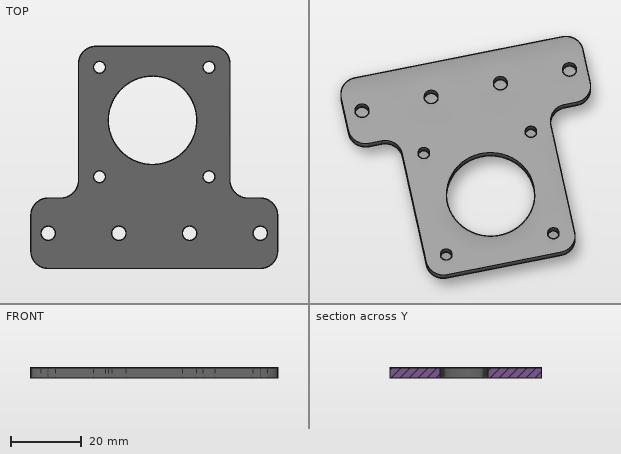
import cadquery as cq

foot_width = 70.0
foot_depth = 20.0
panel_width = 43.0
plate_depth = 63.0
thickness = 3.0
corner_radius = 5.0

bolt_spacing = 31.0
bolt_diameter = 3.3
bolt_center_y = plate_depth - panel_width / 2

opening_diameter = 25.0
opening_shift = 0.5

foot_hole_count = 4
foot_hole_diameter = 4.0
foot_hole_spacing = 20.0


def make_plate():
    """T-shaped plate with all upright corners rounded, inside and out."""
    foot = cq.Workplane("XY").box(foot_width, foot_depth, thickness, centered=(True, False, False))
    panel = cq.Workplane("XY").box(panel_width, plate_depth, thickness, centered=(True, False, False))
    return foot.union(panel).clean().edges("|Z").fillet(corner_radius)


def cut_motor_mount(plate):
    """Large motor opening surrounded by four bolt holes."""
    face = plate.faces(">Z").workplane(origin=(0, bolt_center_y, 0))
    plate = face.rarray(bolt_spacing, bolt_spacing, 2, 2).hole(bolt_diameter)
    opening_center = (-opening_shift, bolt_center_y + opening_shift, 0)
    return plate.faces(">Z").workplane(origin=opening_center).hole(opening_diameter)


def cut_foot_holes(plate):
    """Evenly spaced row of through holes in the foot."""
    face = plate.faces(">Z").workplane(origin=(0, foot_depth / 2, 0))
    return face.rarray(foot_hole_spacing, 0.7, foot_hole_count, 1).hole(foot_hole_diameter)


result = cut_foot_holes(cut_motor_mount(make_plate()))